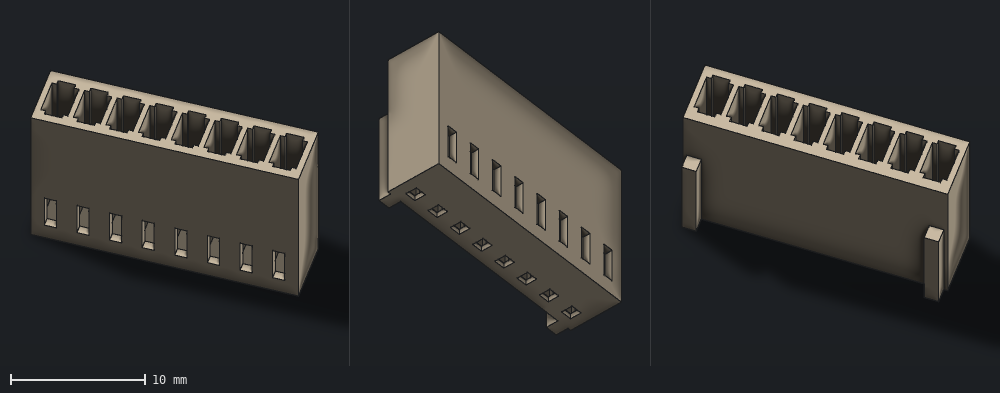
import cadquery as cq

length = 20.9
body_depth = 5.0
height = 12.95

cavity_count = 8
end_margin = 1.55
pitch = (length - 2 * end_margin) / (cavity_count - 1)
cavity_floor = 0.5
cavity_width = 2.11
cavity_front = 1.0
cavity_back = 3.8
channel_width = 1.35
channel_front = 0.7
channel_back = 4.15

pin_hole_size = 1.02
pin_hole_back = 4.12

window_width = 0.95
window_bottom = 1.4
window_height = 2.99

rib_width = 1.15
rib_depth = 1.15
rib_height = 8.05
rib_inset = 0.31


def block(x_center, width, y_min, y_max, z_min, z_max):
    """Box centred on x_center, between the given Y and Z limits."""
    return (
        cq.Workplane("XY")
        .box(width, y_max - y_min, z_max - z_min, centered=(True, False, False))
        .translate((x_center, y_min, z_min))
    )


def contact_cavity(x_center):
    """Everything removed for one contact: stepped pocket, pin hole and window."""
    pocket = block(x_center, cavity_width, cavity_front, cavity_back, cavity_floor, height)
    channel = block(x_center, channel_width, channel_front, channel_back, cavity_floor, height)
    pin_hole = block(
        x_center, pin_hole_size, pin_hole_back - pin_hole_size, pin_hole_back, 0, cavity_floor
    )
    window = block(
        x_center, window_width, 0, cavity_front, window_bottom, window_bottom + window_height
    )
    return pocket.union(channel).union(pin_hole).union(window)


result = block(length / 2, length, 0, body_depth, 0, height)

rib_offset = rib_inset + rib_width / 2
for rib_x in (rib_offset, length - rib_offset):
    result = result.union(
        block(rib_x, rib_width, body_depth, body_depth + rib_depth, 0, rib_height)
    )

for index in range(cavity_count):
    result = result.cut(contact_cavity(end_margin + index * pitch))